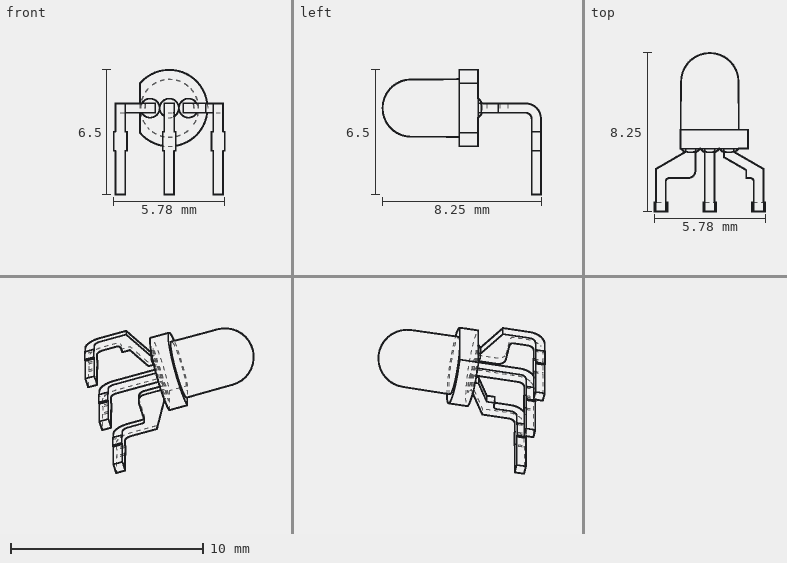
import cadquery as cq
import math

FLANGE_RADIUS = 2.0
FLANGE_THICKNESS = 0.99
FLAT_OFFSET = 1.53
DOME_RADIUS = 1.5
LENS_BASE_RADIUS = 1.52
OVERALL_LENGTH = 8.25
LEAD_REACH = 3.27
DOME_TIP_Y = OVERALL_LENGTH - LEAD_REACH
DOME_BASE_Y = DOME_TIP_Y - DOME_RADIUS

BEAD_PITCH = 1.0
BEAD_RADIUS = 0.495
BEAD_HEIGHT = 0.25

LEAD_WIDTH = 0.52
LEAD_THICKNESS = 0.495
LEAD_PITCH = 2.54
BEND_OUTER_RADIUS = 0.8
BEND_START_Y = BEND_OUTER_RADIUS - LEAD_REACH
LEAD_TOP_Z = LEAD_THICKNESS / 2
LEAD_END_Z = -4.505
WING_WIDTH = 0.7
WING_HEIGHT = 1.0
WING_TOP_Z = -1.23

SHOULDER_Y = -1.05
SLANT_ANGLE = 30.0
CROOK_Y = -1.535
CROOK_INNER_RADIUS = 0.165
CROOK_OUTER_RADIUS = 0.4
SLIM_EDGE_Y = -0.445
SLIM_STEP_X = 1.89

HALF_WIDTH = LEAD_WIDTH / 2
SHANK_OUTER_X = LEAD_PITCH + HALF_WIDTH
SHANK_INNER_X = LEAD_PITCH - HALF_WIDTH
EXIT_OUTER_X = BEAD_PITCH + HALF_WIDTH
EXIT_INNER_X = BEAD_PITCH - HALF_WIDTH
SLANT = math.tan(math.radians(SLANT_ANGLE))
SLANT_END_Y = SHOULDER_Y + (SHANK_OUTER_X - EXIT_OUTER_X) * SLANT


def make_lens():
    """Revolve the drafted lens and its hemispherical dome about Y."""
    diagonal = DOME_RADIUS * math.sqrt(0.5)
    return (
        cq.Workplane("XY")
        .lineTo(LENS_BASE_RADIUS, 0)
        .lineTo(LENS_BASE_RADIUS, FLANGE_THICKNESS)
        .lineTo(DOME_RADIUS, DOME_BASE_Y)
        .threePointArc((diagonal, DOME_BASE_Y + diagonal), (0, DOME_TIP_Y))
        .close()
        .revolve(360, (0, 0, 0), (0, 1, 0))
    )


def make_flange():
    """Disc with one polarity flat on the -X side."""
    disc = cq.Workplane("XZ").circle(FLANGE_RADIUS).extrude(-FLANGE_THICKNESS)
    keep = cq.Workplane("XY").box(
        FLAT_OFFSET + FLANGE_RADIUS, FLANGE_THICKNESS, 2 * FLANGE_RADIUS, centered=(False, False, True)
    ).translate((-FLAT_OFFSET, 0, 0))
    return disc.intersect(keep)


def make_bead(x):
    """Shallow spherical cap standing on the rear face of the flange."""
    sphere_radius = (BEAD_RADIUS**2 + BEAD_HEIGHT**2) / (2 * BEAD_HEIGHT)
    cap = (
        cq.Workplane("XY")
        .lineTo(BEAD_RADIUS, 0)
        .radiusArc((0, -BEAD_HEIGHT), sphere_radius)
        .close()
        .revolve(360, (0, 0, 0), (0, 1, 0))
    )
    return cap.translate((x, 0, 0))


def make_housing(leads_by_x):
    """Join lens and flange, then add each bead with an opening for its lead."""
    body = make_lens().union(make_flange())
    for x, lead in leads_by_x.items():
        body = body.union(make_bead(x).cut(lead))
    return body


def extrude_strip(outline):
    """Give a flat XY outline the lead thickness, centred on Z = 0."""
    return outline.close().extrude(LEAD_THICKNESS / 2, both=True)


def make_shank(x):
    """Bend, vertical shank and standoff wings, centred on the given X."""
    inner_radius = BEND_OUTER_RADIUS - LEAD_THICKNESS
    bend_z = LEAD_TOP_Z - BEND_OUTER_RADIUS
    front_y = LEAD_THICKNESS - LEAD_REACH
    cos45 = math.sqrt(0.5)
    outer_mid = (BEND_START_Y - BEND_OUTER_RADIUS * cos45, bend_z + BEND_OUTER_RADIUS * cos45)
    inner_mid = (BEND_START_Y - inner_radius * cos45, bend_z + inner_radius * cos45)
    shank = (
        cq.Workplane("YZ")
        .moveTo(BEND_START_Y, LEAD_TOP_Z)
        .threePointArc(outer_mid, (-LEAD_REACH, bend_z))
        .lineTo(-LEAD_REACH, LEAD_END_Z)
        .lineTo(front_y, LEAD_END_Z)
        .lineTo(front_y, bend_z)
        .threePointArc(inner_mid, (BEND_START_Y, -LEAD_TOP_Z))
        .close()
        .extrude(HALF_WIDTH, both=True)
    )
    wings = cq.Workplane("XY").box(WING_WIDTH, LEAD_THICKNESS, WING_HEIGHT).translate(
        (0, front_y - LEAD_THICKNESS / 2, WING_TOP_Z - WING_HEIGHT / 2)
    )
    return shank.union(wings).translate((x, 0, 0))


def start_outer_outline():
    """Outer edge shared by both spread leads, drawn on the +X side."""
    return (
        cq.Workplane("XY")
        .moveTo(EXIT_INNER_X, 0)
        .lineTo(EXIT_OUTER_X, 0)
        .lineTo(EXIT_OUTER_X, SLANT_END_Y)
        .lineTo(SHANK_OUTER_X, SHOULDER_Y)
        .lineTo(SHANK_OUTER_X, BEND_START_Y)
        .lineTo(SHANK_INNER_X, BEND_START_Y)
        .lineTo(SHANK_INNER_X, CROOK_Y)
    )


def round_corner(strip, x, radius):
    """Round the vertical edge of a strip at (x, CROOK_Y)."""
    corner = cq.selectors.NearestToPointSelector((x, CROOK_Y, 0))
    return strip.edges("|Z").edges(corner).fillet(radius)


def make_wide_lead():
    """Lead on the -X side, with a broad plate behind its exit."""
    strip = extrude_strip(start_outer_outline().lineTo(EXIT_INNER_X, CROOK_Y))
    strip = round_corner(strip, SHANK_INNER_X, CROOK_INNER_RADIUS)
    strip = round_corner(strip, EXIT_INNER_X, CROOK_OUTER_RADIUS)
    return strip.mirror("YZ").union(make_shank(-LEAD_PITCH))


def make_centre_lead():
    """Straight lead on the housing axis."""
    length = -BEND_START_Y
    strip = cq.Workplane("XY").box(LEAD_WIDTH, length, LEAD_THICKNESS).translate((0, -length / 2, 0))
    return strip.union(make_shank(0))


def make_slim_lead():
    """Lead on the +X side, with a slanted arm and a small step."""
    step_front_y = SLIM_EDGE_Y - (SLIM_STEP_X - EXIT_INNER_X) * SLANT
    outline = (
        start_outer_outline()
        .lineTo(SLIM_STEP_X, CROOK_Y)
        .lineTo(SLIM_STEP_X, step_front_y)
        .lineTo(EXIT_INNER_X, SLIM_EDGE_Y)
    )
    strip = round_corner(extrude_strip(outline), SHANK_INNER_X, CROOK_INNER_RADIUS)
    return strip.union(make_shank(LEAD_PITCH))


wide_lead = make_wide_lead()
centre_lead = make_centre_lead()
slim_lead = make_slim_lead()
housing = make_housing({-BEAD_PITCH: wide_lead, 0: centre_lead, BEAD_PITCH: slim_lead})

bodies = [housing, wide_lead, centre_lead, slim_lead]
result = cq.Compound.makeCompound([body.solids().val() for body in bodies])